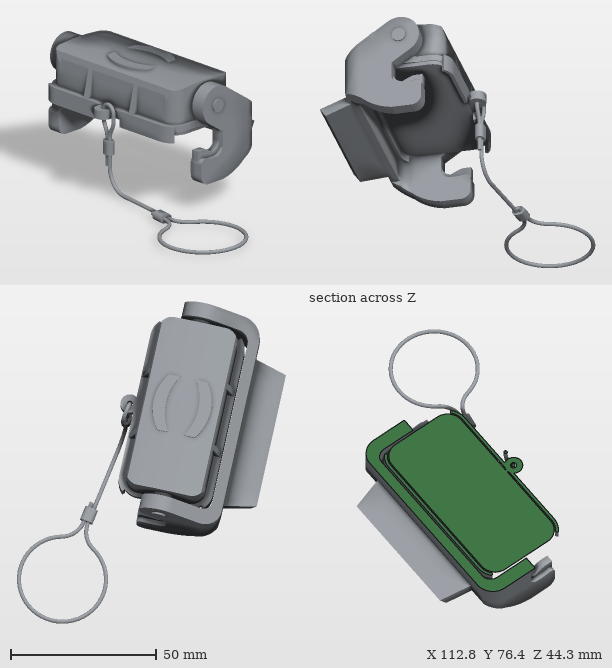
import cadquery as cq
import math


corner_x = 25.45
corner_y = 9.1
wall_radius = 4.8
flange_radius = 6.2
rim_radius = 5.9
skirt_radius = 7.4
flange_top = -6.1
flange_bottom = -8.3
rim_bottom = -9.65
skirt_bottom = -12.1
crown_top = 7.35
crown_edge = 6.3
crown_half_width = 13.0
panel_top_half_width = 13.5
slope_foot = 16.1
rib_x = 11.0
rib_width = 1.9
notch_width = 12.2
pad_top = 7.75
pad_half_length = 10.0
pad_center_y = 0.15
pad_inner_end, pad_inner_middle = 2.8, 5.7
pad_outer_end, pad_outer_middle = 6.65, 10.0

lug_y = -18.25
lug_diameter = 6.5
lug_thickness = 3.2
lug_hole_diameter = 2.0

lever_half_width = 37.25
arm_thickness = 5.15
lever_back = 20.7
back_thickness = 3.7
lever_outer_radius = 6.7
lever_inner_radius = 3.6
head_radius = 7.1
head_slope = math.radians(34.4)
back_top = -5.6
back_bend = -11.4
back_foot_y, back_foot_z = 20.0, -18.9
back_foot_half_width = 30.3
lever_bottom = -27.9
tip_y = -7.9
mouth_y = 2.6
hook_floor = -18.8
tip_top = -18.4
tip_upper_corner = 2.1
tip_lower_corner = 3.5
mouth_curve_top = -16.3
mouth_curve_middle = (1.5, -17.9)
mouth_floor_start, mouth_floor_end = -0.7, -3.5
heel_curve_middle = (8.4, -26.2)
heel_curve_end = (13.2, -23.0)
hook_rib_start, hook_rib_end = 32.8, 35.6
hook_rib_top = -14.3
hook_rib_depth = 0.5
hook_rib_embed = 1.0
hook_rib_valley_middle = (1.5, -16.3)
hook_rib_valley = (-0.7, -17.4)
hook_rib_crest_start = (-3.2, -16.1)
hook_rib_crest_middle = (-4.2, -15.7)
hook_rib_crest_y, hook_rib_crest_z = -5.3, -15.5

pin_diameter = 4.8
pin_half_length = 37.9
boss_diameter = 6.5
boss_face = 31.2
collar_diameter = 6.2
tab_half_width = 4.5
tab_face = 32.0

handle_tip_y = 31.6
handle_profile = [(19.5, -15.2), (handle_tip_y, -17.7), (29.3, -20.9), (19.5, -18.8)]
handle_root_half_width = 26.4
handle_tip_half_width = 23.7

cord_diameter = 1.4
strand_offset = 0.75
cord_bend_radius = 8.4
cord_angle = -9.7
small_loop_radius = 2.9
small_loop_start = 0.1
small_loop_z = -6.9
small_loop_straight_end = -9.4
pair_start_z = -16.0
pair_end_z = -26.5
ferrule_length = 5.0
ferrule_width = 4.6
ferrule_thickness = 3.2
ferrule_flat = 1.8
upper_ferrule_z = -19.5
lower_ferrule_distance = 35.87
large_loop_radius = 15.0
ferrule_gap = 0.3
stub_length = 2.0


def plan_plate(radius, bottom, top):
    """Rounded rectangular plate with corner arcs about the shared corner centres."""
    return (
        cq.Workplane("XY", origin=(0, 0, bottom))
        .rect(2 * (corner_x + radius), 2 * (corner_y + radius))
        .extrude(top - bottom)
        .edges("|Z").fillet(radius)
    )


def box_between(x_range, y_range, z_range):
    """Box given by its limits on each axis."""
    return (
        cq.Workplane("XY", origin=(x_range[0], y_range[0], z_range[0]))
        .box(x_range[1] - x_range[0], y_range[1] - y_range[0], z_range[1] - z_range[0], centered=False)
    )


def roof_envelope(half_length, foot_half_width, edge_half_width):
    """Prism along X with leaning sides and a domed top."""
    return (
        cq.Workplane("YZ", origin=(-half_length, 0, 0))
        .moveTo(-foot_half_width, flange_top)
        .lineTo(-edge_half_width, crown_edge)
        .threePointArc((0, crown_top), (edge_half_width, crown_edge))
        .lineTo(foot_half_width, flange_top)
        .close()
        .extrude(2 * half_length)
    )


def make_hood():
    """Hood with a domed top, slightly leaning long walls and two sloping ribs on each long side."""
    wall_y = corner_y + wall_radius
    upright = plan_plate(wall_radius, flange_top, crown_top)
    middle = box_between((-corner_x, corner_x), (-wall_y, wall_y), (flange_top, crown_top))
    leaning = upright.intersect(roof_envelope(corner_x, wall_y, panel_top_half_width))
    hood = upright.cut(middle).union(leaning)
    for x in (-rib_x, rib_x):
        x_range = (x - rib_width / 2, x + rib_width / 2)
        hood = hood.union(box_between(x_range, (-slope_foot, slope_foot), (flange_top, crown_top)))
    return hood.intersect(roof_envelope(corner_x + wall_radius, slope_foot, crown_half_width))


def make_pad(side):
    """Crescent pad on the crown, on the +Y or -Y side."""
    return (
        cq.Workplane("XY")
        .moveTo(-pad_half_length, side * pad_inner_end)
        .threePointArc((0, side * pad_inner_middle), (pad_half_length, side * pad_inner_end))
        .lineTo(pad_half_length, side * pad_outer_end)
        .threePointArc((0, side * pad_outer_middle), (-pad_half_length, side * pad_outer_end))
        .close()
        .extrude(pad_top)
        .translate((0, pad_center_y, 0))
    )


def make_skirts():
    """Skirts along both long sides, ending on 45 degree cuts through the corner arcs."""
    ring = plan_plate(skirt_radius, skirt_bottom, flange_top)
    ring = ring.cut(plan_plate(flange_radius, skirt_bottom, flange_top))
    reach = 2 * skirt_radius
    keep = (
        cq.Workplane("XY", origin=(0, 0, skirt_bottom))
        .polyline([
            (-corner_x, corner_y),
            (corner_x, corner_y),
            (corner_x + reach, corner_y + reach),
            (-corner_x - reach, corner_y + reach),
        ])
        .close()
        .extrude(flange_top - skirt_bottom)
    )
    keep = keep.union(keep.mirror("XZ"))
    notch = box_between(
        (-notch_width / 2, notch_width / 2),
        (lug_y, -corner_y),
        (skirt_bottom, flange_top - lug_thickness),
    ).cut(plan_plate(flange_radius, skirt_bottom, flange_top))
    return ring.intersect(keep).cut(notch)


def make_lug():
    """Round lug on the front skirt, without its hole."""
    lug_bottom = flange_top - lug_thickness
    return cq.Workplane("XY", origin=(0, lug_y, lug_bottom)).circle(lug_diameter / 2).extrude(lug_thickness)


def cross_cylinder(diameter, half_length):
    """Cylinder on the pin axis, centred on the cover."""
    return cq.Workplane("YZ", origin=(-half_length, 0, 0)).circle(diameter / 2).extrude(2 * half_length)


def make_cover():
    """Hood, flange, skirts and lug, with the pins that carry the lever."""
    cover = make_hood()
    cover = cover.union(plan_plate(flange_radius, flange_bottom, flange_top))
    cover = cover.union(plan_plate(rim_radius, rim_bottom, flange_bottom))
    cover = cover.union(make_skirts()).union(make_lug())
    for side in (-1, 1):
        cover = cover.union(make_pad(side))
    cover = cover.union(
        box_between((-tab_face, tab_face), (-tab_half_width, tab_half_width), (flange_bottom, flange_top))
    )
    cover = cover.union(cross_cylinder(boss_diameter, boss_face))
    cover = cover.union(cross_cylinder(collar_diameter, lever_half_width - arm_thickness))
    cover = cover.union(cross_cylinder(pin_diameter, pin_half_length))
    hole = cq.Workplane("XY", origin=(0, lug_y, rim_bottom)).circle(lug_hole_diameter / 2)
    return cover.cut(hole.extrude(-rim_bottom))


def lever_side_profile():
    """Side outline of the lever, extruded over its full width."""
    tangent_y = head_radius * math.sin(head_slope)
    tangent_z = head_radius * math.cos(head_slope)
    throat_z = -tangent_z - (mouth_y + tangent_y) * math.tan(head_slope)
    return (
        cq.Workplane("YZ", origin=(-lever_half_width, 0, 0))
        .moveTo(lever_back, back_top)
        .lineTo(tangent_y, tangent_z)
        .threePointArc(
            (-head_radius * math.cos(head_slope), head_radius * math.sin(head_slope)),
            (-tangent_y, -tangent_z),
        )
        .lineTo(mouth_y, throat_z)
        .lineTo(mouth_y, mouth_curve_top)
        .threePointArc(mouth_curve_middle, (mouth_floor_start, hook_floor))
        .lineTo(mouth_floor_end, hook_floor)
        .lineTo(tip_y + tip_upper_corner, tip_top)
        .tangentArcPoint((tip_y, tip_top - tip_upper_corner), relative=False)
        .lineTo(tip_y, lever_bottom + tip_lower_corner)
        .tangentArcPoint((tip_y + tip_lower_corner, lever_bottom), relative=False)
        .lineTo(mouth_y, lever_bottom)
        .threePointArc(heel_curve_middle, heel_curve_end)
        .lineTo(back_foot_y, back_foot_z)
        .lineTo(lever_back, back_bend)
        .close()
        .extrude(2 * lever_half_width)
    )


def lever_plan():
    """U-shaped plan of the lever, extruded over its full height."""
    inner_half_width = lever_half_width - arm_thickness
    inner_back = lever_back - back_thickness
    outer = box_between(
        (-lever_half_width, lever_half_width), (tip_y, lever_back), (lever_bottom, head_radius)
    ).edges("|Z and >Y").fillet(lever_outer_radius)
    inner = box_between(
        (-inner_half_width, inner_half_width), (tip_y, inner_back), (lever_bottom, head_radius)
    ).edges("|Z and >Y").fillet(lever_inner_radius)
    return outer.cut(inner)


def make_hook_rib():
    """Narrow cam rib that lines the mouth of the hook on the +X arm."""
    root_z = hook_floor - hook_rib_depth
    root_y = mouth_y + hook_rib_embed
    return (
        cq.Workplane("YZ", origin=(hook_rib_start, 0, 0))
        .moveTo(mouth_y, hook_rib_top)
        .threePointArc(hook_rib_valley_middle, hook_rib_valley)
        .lineTo(*hook_rib_crest_start)
        .threePointArc(hook_rib_crest_middle, (hook_rib_crest_y, hook_rib_crest_z))
        .lineTo(tip_y, hook_rib_crest_z)
        .lineTo(tip_y, root_z)
        .lineTo(root_y, root_z)
        .lineTo(root_y, hook_rib_top)
        .close()
        .extrude(hook_rib_end - hook_rib_start)
    )


def make_handle():
    """Tapered handle that slopes down and back from the lever."""
    slab = (
        cq.Workplane("YZ", origin=(-lever_half_width, 0, 0))
        .polyline(handle_profile)
        .close()
        .extrude(2 * lever_half_width)
    )
    taper = (handle_root_half_width - handle_tip_half_width) / (handle_tip_y - lever_back)
    inner_y = lever_back - back_thickness
    inner_half_width = handle_root_half_width + taper * back_thickness
    plan = (
        cq.Workplane("XY", origin=(0, 0, lever_bottom))
        .polyline([
            (-inner_half_width, inner_y),
            (inner_half_width, inner_y),
            (handle_tip_half_width, handle_tip_y),
            (-handle_tip_half_width, handle_tip_y),
        ])
        .close()
        .extrude(-lever_bottom)
    )
    return slab.intersect(plan)


def make_lever():
    """Locking lever: two hooked arms, the back between them and the handle."""
    rib = make_hook_rib()
    lever = lever_side_profile().intersect(lever_plan())
    lever = lever.cut(
        box_between(
            (-back_foot_half_width, back_foot_half_width),
            (lever_back - lever_outer_radius, lever_back),
            (lever_bottom, back_foot_z),
        )
    )
    return lever.union(rib).union(rib.mirror("YZ")).union(make_handle())


def ferrule(plane):
    """Oval ferrule with two flats along the plane normal, centred on its origin."""
    half_width = ferrule_width / 2
    half_thickness = ferrule_thickness / 2
    half_flat = ferrule_flat / 2
    return (
        cq.Workplane(plane)
        .workplane(offset=-ferrule_length / 2)
        .moveTo(-half_flat, -half_thickness)
        .lineTo(half_flat, -half_thickness)
        .threePointArc((half_width, 0), (half_flat, half_thickness))
        .lineTo(-half_flat, half_thickness)
        .threePointArc((-half_width, 0), (-half_flat, -half_thickness))
        .close()
        .extrude(ferrule_length)
    )


def cord_path():
    """Centre line of the cord in its own frame: U along the cord, V across it, Z up, from the lug."""
    axis_u = small_loop_start + small_loop_radius
    main_u = axis_u + strand_offset
    ground_z = pair_end_z - cord_bend_radius
    axis_v = -strand_offset
    down = cq.Vector(0, 0, -1)
    up = cq.Vector(0, 0, 1)
    forward = cq.Vector(1, 0, 0)

    def upright(u, z):
        return cq.Vector(u, 0, z)

    def flat(u, v):
        return cq.Vector(u, axis_v + v, ground_z)

    line = cq.Edge.makeLine
    arc = cq.Edge.makeThreePointArc
    left_u = axis_u - small_loop_radius
    right_u = axis_u + small_loop_radius
    cos45 = math.sqrt(0.5)
    edges = [
        line(upright(axis_u - strand_offset, pair_end_z), upright(axis_u - strand_offset, pair_start_z)),
        cq.Edge.makeSpline(
            [upright(axis_u - strand_offset, pair_start_z), upright(left_u, small_loop_straight_end)],
            tangents=[up, up],
        ),
        line(upright(left_u, small_loop_straight_end), upright(left_u, small_loop_z)),
        arc(
            upright(left_u, small_loop_z),
            upright(axis_u, small_loop_z + small_loop_radius),
            upright(right_u, small_loop_z),
        ),
        line(upright(right_u, small_loop_z), upright(right_u, small_loop_straight_end)),
        cq.Edge.makeSpline(
            [upright(right_u, small_loop_straight_end), upright(main_u, pair_start_z)],
            tangents=[down, down],
        ),
        line(upright(main_u, pair_start_z), upright(main_u, pair_end_z)),
        arc(
            upright(main_u, pair_end_z),
            upright(main_u + cord_bend_radius * (1 - cos45), pair_end_z - cord_bend_radius * cos45),
            upright(main_u + cord_bend_radius, ground_z),
        ),
    ]

    bend_u = lower_ferrule_distance + ferrule_length / 2 + ferrule_gap
    bend_v = strand_offset + cord_bend_radius
    joint_angle = math.asin(bend_v / (large_loop_radius + cord_bend_radius))
    loop_u = bend_u + (large_loop_radius + cord_bend_radius) * math.cos(joint_angle)
    joint_u = loop_u - large_loop_radius * math.cos(joint_angle)
    joint_v = large_loop_radius * math.sin(joint_angle)
    half_turn = (math.pi / 2 - joint_angle) / 2
    middle_u = bend_u + cord_bend_radius * math.sin(half_turn)
    middle_v = bend_v - cord_bend_radius * math.cos(half_turn)
    stub_u = lower_ferrule_distance - ferrule_length / 2 - stub_length
    edges += [
        line(upright(main_u + cord_bend_radius, ground_z), flat(bend_u, strand_offset)),
        arc(flat(bend_u, strand_offset), flat(middle_u, middle_v), flat(joint_u, joint_v)),
        arc(flat(joint_u, joint_v), flat(loop_u + large_loop_radius, 0), flat(joint_u, -joint_v)),
        arc(flat(joint_u, -joint_v), flat(middle_u, -middle_v), flat(bend_u, -strand_offset)),
        line(flat(bend_u, -strand_offset), flat(stub_u, -strand_offset)),
    ]

    upper_plane = cq.Plane(origin=(axis_u, 0, upper_ferrule_z), xDir=forward, normal=up)
    lower_plane = cq.Plane(origin=flat(lower_ferrule_distance, 0), xDir=(0, 1, 0), normal=forward)
    return cq.Wire.assembleEdges(edges), upper_plane, lower_plane


def make_cord():
    """Cord with a loop at each end, both held by ferrules, placed in the lug hole."""
    path, upper_plane, lower_plane = cord_path()
    start = cq.Plane(origin=path.startPoint(), xDir=(1, 0, 0), normal=(0, 0, 1))
    cord = cq.Workplane(start).circle(cord_diameter / 2).sweep(cq.Workplane(path), transition="round")
    for plane in (upper_plane, lower_plane):
        cord = cord.union(ferrule(plane))
    return cord.rotate((0, 0, 0), (0, 0, 1), cord_angle).translate((0, lug_y, 0))


cover = make_cover().union(make_lever())
cord = make_cord()
result = cq.Compound.makeCompound([cover.val(), cord.val()])